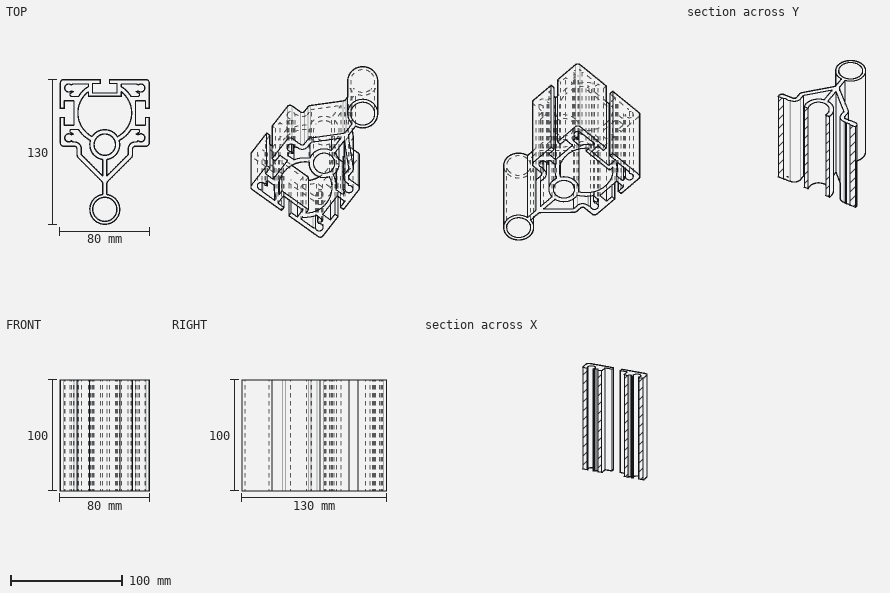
import cadquery as cq
import math

length = 100.0
overall_depth = 130
body_width = 80.0
body_depth = 59.9
corner_radius = 3.0
half_width = body_width / 2
half_depth = body_depth / 2
wall = 4.0

bore_radius = 24.0
sleeve_radius = 28.0

slot_opening = 8.0
slot_lip = 3.6
slot_width = 21.7
slot_depth = 12.2
back_slot_depth = 12.0
slot_cap_width = 29.6
slot_cap_floor = 3.1

channel_radius = 3.5
channel_x = 32.4
channel_y = 22.4
throat_x = 29.9
flare_x = 28.1
flare_radius = 2.6
hook_tip_y = 19.1
relief_x = 31.1
relief_y = 17.3
relief_radius = 1.0
pocket_floor_y = 15.0
pocket_start_x = 27.8
pocket_ceiling_y = half_depth - wall

tube_diameter = 27.0
inner_tube_hole = 19.0
outer_tube_hole = 21.5
inner_tube_y = -28.5
outer_tube_y = half_depth - overall_depth + tube_diameter / 2
web_width = 3.9

taper_angle = math.radians(45)
neck_half_width = 25.0
neck_shoulder_y = -39.1
neck_pocket_y = neck_shoulder_y + wall * math.tan(taper_angle / 2)
neck_root_radius = 2.5
neck_pocket_radius = neck_root_radius + wall
neck_corner_radius = 3.2
neck_tip_radius = 3.8


def box(x_min, x_max, y_min, y_max):
    """Full-length block between the given X and Y limits."""
    center_x = (x_min + x_max) / 2
    center_y = (y_min + y_max) / 2
    plane = cq.Workplane("XY").center(center_x, center_y)
    return plane.rect(x_max - x_min, y_max - y_min).extrude(length)


def rod(radius, x, y):
    """Full-length round bar."""
    return cq.Workplane("XY").center(x, y).circle(radius).extrude(length)


def prism(points):
    """Full-length straight-sided prism."""
    return cq.Workplane("XY").polyline(points).close().extrude(length)


def round_edge(solid, radius, x, y):
    """Round the lengthwise edge that passes through (x, y)."""
    return solid.edges(cq.selectors.NearestToPointSelector((x, y, length / 2))).fillet(radius)


def both_sides(solid):
    """The solid together with its mirror image across the YZ plane."""
    return solid.union(solid.mirror("YZ"))


def outer_body():
    """Solid block with the tapered neck and the web reaching to the outer tube."""
    body = box(-half_width, half_width, -half_depth, half_depth)
    body = body.edges("|Z").fillet(corner_radius)
    half_web = web_width / 2
    neck_end_y = neck_shoulder_y - (neck_half_width - half_web) * math.tan(taper_angle)
    neck = prism([
        (-neck_half_width, 0),
        (-neck_half_width, neck_shoulder_y),
        (-half_web, neck_end_y),
        (-half_web, outer_tube_y),
        (half_web, outer_tube_y),
        (half_web, neck_end_y),
        (neck_half_width, neck_shoulder_y),
        (neck_half_width, 0),
    ])
    body = body.union(neck)
    for side in (-1, 1):
        body = round_edge(body, neck_root_radius, side * neck_half_width, -half_depth)
        body = round_edge(body, neck_corner_radius, side * neck_half_width, neck_shoulder_y)
        body = round_edge(body, neck_tip_radius, side * half_web, neck_end_y)
    return body


def screw_channel():
    """Round channel at the left back corner with its flared throat and hooked relief."""
    throat_rise = math.sqrt(channel_radius ** 2 - (channel_x - throat_x) ** 2)
    throat_top = channel_y + throat_rise
    throat_bottom = channel_y - throat_rise
    throat = (
        cq.Workplane("XY")
        .moveTo(-throat_x, throat_top)
        .radiusArc((-flare_x, pocket_ceiling_y), flare_radius)
        .lineTo(-pocket_start_x, pocket_ceiling_y)
        .lineTo(-pocket_start_x, pocket_floor_y)
        .lineTo(-relief_x, pocket_floor_y)
        .lineTo(-relief_x, relief_y)
        .lineTo(-flare_x, hook_tip_y)
        .radiusArc((-throat_x, throat_bottom), flare_radius)
        .close()
        .extrude(length)
    )
    throat = round_edge(throat, relief_radius, -relief_x, pocket_floor_y)
    return throat.union(rod(channel_radius, -channel_x, channel_y))


def back_pocket():
    """Left back pocket including its screw channel."""
    pocket = box(-pocket_start_x, -slot_cap_width / 2, pocket_floor_y, pocket_ceiling_y)
    return screw_channel().union(pocket)


def neck_pocket():
    """Left front pocket, running from its screw channel down into the neck."""
    pocket_half_width = neck_half_width - wall
    half_web = web_width / 2
    pocket_tip_y = neck_pocket_y - (pocket_half_width - half_web) * math.tan(taper_angle)
    pocket = prism([
        (-pocket_start_x, -pocket_floor_y),
        (-half_web, -pocket_floor_y),
        (-half_web, pocket_tip_y),
        (-pocket_half_width, neck_pocket_y),
        (-pocket_half_width, -pocket_ceiling_y),
        (-pocket_start_x, -pocket_ceiling_y),
    ])
    pocket = pocket.union(screw_channel().mirror("XZ"))
    return round_edge(pocket, neck_pocket_radius, -pocket_half_width, -pocket_ceiling_y)


def t_slot(face, depth):
    """T-slot solid sunk to the given depth below the face at y = face."""
    mouth = box(-slot_opening / 2, slot_opening / 2, face - slot_lip, face)
    cavity = box(-slot_width / 2, slot_width / 2, face - depth, face - slot_lip)
    return mouth.union(cavity)


pockets = both_sides(back_pocket().union(neck_pocket())).cut(rod(sleeve_radius, 0, 0))
profile = outer_body().cut(pockets).cut(rod(bore_radius, 0, 0))

cap_y = half_depth - back_slot_depth - slot_cap_floor
profile = profile.union(box(-slot_cap_width / 2, slot_cap_width / 2, cap_y, half_depth))
for tube_y in (inner_tube_y, outer_tube_y):
    profile = profile.union(rod(tube_diameter / 2, 0, tube_y))

profile = profile.cut(rod(inner_tube_hole / 2, 0, inner_tube_y))
profile = profile.cut(rod(outer_tube_hole / 2, 0, outer_tube_y))

profile = profile.cut(t_slot(half_depth, back_slot_depth))
side_slot = t_slot(half_width, slot_depth).rotate((0, 0, 0), (0, 0, 1), 90)
result = profile.cut(both_sides(side_slot))